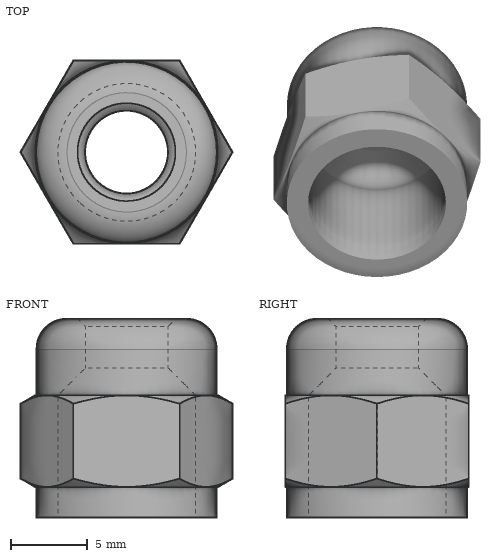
import cadquery as cq
import math

across_corners = 13.86
collar_bottom = 2.0
collar_top = 8.0
collar_chamfer_diameter = 11.95
collar_chamfer_angle = 30.0

body_diameter = 11.8
body_height = 13.0
crown_radius = 2.0

tube_diameter = 5.4
mouth_chamfer = 0.5
tube_bottom = 9.8
socket_diameter = 9.01


def make_body():
    """Round body with a rounded upper rim."""
    body = cq.Workplane("XY").circle(body_diameter / 2).extrude(body_height)
    return body.faces(">Z").edges().fillet(crown_radius)


def make_collar():
    """Hexagon with its corners along X, turned conically at both ends."""
    hexagon = (
        cq.Workplane("XY")
        .workplane(offset=collar_bottom)
        .polygon(6, across_corners)
        .extrude(collar_top - collar_bottom)
    )
    rim_radius = collar_chamfer_diameter / 2
    corner_radius = across_corners / 2
    corner_drop = (corner_radius - rim_radius) * math.tan(math.radians(collar_chamfer_angle))
    turned_envelope = (
        cq.Workplane("XZ")
        .moveTo(0, collar_bottom)
        .lineTo(rim_radius, collar_bottom)
        .lineTo(corner_radius, collar_bottom + corner_drop)
        .lineTo(corner_radius, collar_top - corner_drop)
        .lineTo(rim_radius, collar_top)
        .lineTo(0, collar_top)
        .close()
        .revolve(360, (0, 0), (0, 1))
    )
    return hexagon.intersect(turned_envelope)


def make_bore():
    """Tube hole with a chamfered mouth, opening through a 45 degree cone into the socket."""
    tube_radius = tube_diameter / 2
    socket_radius = socket_diameter / 2
    socket_top = tube_bottom - (socket_radius - tube_radius)
    return (
        cq.Workplane("XZ")
        .lineTo(socket_radius, 0)
        .lineTo(socket_radius, socket_top)
        .lineTo(tube_radius, tube_bottom)
        .lineTo(tube_radius, body_height - mouth_chamfer)
        .lineTo(tube_radius + mouth_chamfer, body_height)
        .lineTo(0, body_height)
        .close()
        .revolve(360, (0, 0), (0, 1))
    )


result = make_body().union(make_collar()).cut(make_bore())